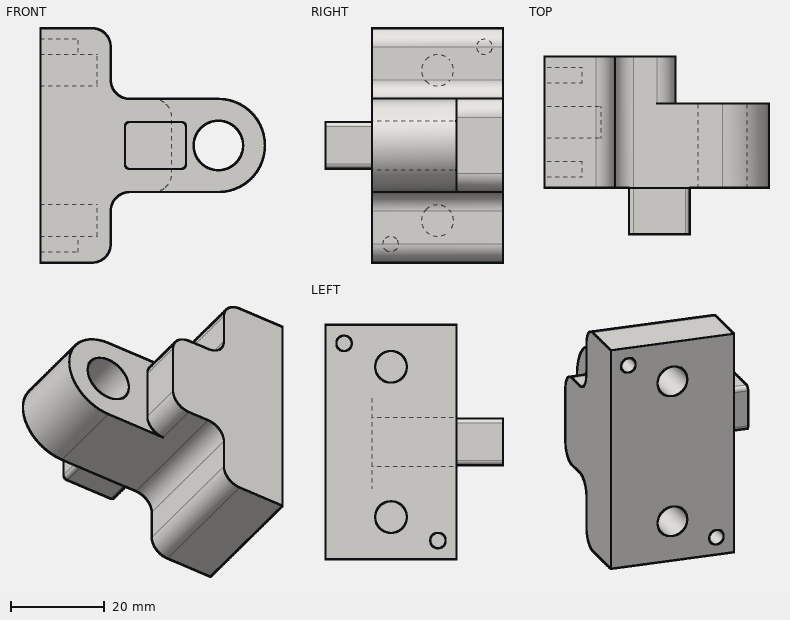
import cadquery as cq

base_thickness = 15.0
base_width = 28.0
base_height = 50.0
blend_radius = 4.0

overall_length = 47.85
eye_radius = 9.95
eye_x = overall_length - eye_radius
eye_bore_diameter = 10.5
arm_height = 2 * eye_radius

relief_start_x = 27.95
relief_depth = 10.0

peg_start_x = 18.0
peg_length_x = 13.0
peg_height = 10.0
peg_projection = 9.9
peg_corner_radius = 1.0

screw_diameter = 6.75
screw_spacing = 32.0
screw_depth = 12.0
dowel_diameter = 3.3
dowel_spacing_y = 20.0
dowel_spacing_z = 42.0
dowel_depth = 8.0

front_y = -base_width / 2
arm_thickness = base_width - relief_depth


def block(start_x, length_x, start_y, length_y, height):
    """Box centred on Z, placed by its lower X and Y faces."""
    return cq.Workplane("XY").box(length_x, length_y, height, centered=(False, False, True)).translate(
        (start_x, start_y, 0)
    )


def cylinder_along_y(x, start_y, length, diameter):
    """Cylinder on the mid height, running towards +Y."""
    circle = cq.Workplane("XZ", origin=(x, start_y, 0)).circle(diameter / 2)
    return circle.extrude(-length)


def make_base():
    base = block(0, base_thickness, front_y, base_width, base_height)
    return base.edges("|Y and >X").fillet(blend_radius)


def make_arm():
    """Eye plate plus the full-width root with rounded outer corners."""
    plate = block(0, eye_x, front_y, arm_thickness, arm_height)
    eye = cylinder_along_y(eye_x, front_y, arm_thickness, 2 * eye_radius)
    root = block(0, relief_start_x, front_y, base_width, arm_height)
    root = root.edges("|Y and >X").fillet(blend_radius)
    return plate.union(eye).union(root)


def make_blend(side):
    """Concave blend between base and arm; side is +1 above, -1 below."""
    corner_z = side * eye_radius
    end_x = base_thickness + blend_radius
    end_z = corner_z + side * blend_radius
    profile = (
        cq.Workplane("XZ", origin=(0, front_y, 0))
        .moveTo(base_thickness, corner_z)
        .lineTo(end_x, corner_z)
        .radiusArc((base_thickness, end_z), side * blend_radius)
        .close()
    )
    return profile.extrude(-base_width)


def make_peg():
    peg = block(peg_start_x, peg_length_x, front_y - peg_projection, peg_projection, peg_height)
    return peg.edges("|Y").fillet(peg_corner_radius)


def mounting_holes(points, diameter, depth):
    """Cutters going in from the mounting face at (y, z) points."""
    return cq.Workplane("YZ").pushPoints(points).circle(diameter / 2).extrude(depth)


screw_points = [(0, side * screw_spacing / 2) for side in (-1, 1)]
dowel_points = [(side * dowel_spacing_y / 2, side * dowel_spacing_z / 2) for side in (-1, 1)]

result = make_base().union(make_arm())
for blend_side in (-1, 1):
    result = result.union(make_blend(blend_side))
result = result.union(make_peg())
result = result.cut(cylinder_along_y(eye_x, front_y, base_width, eye_bore_diameter))
result = result.cut(mounting_holes(screw_points, screw_diameter, screw_depth))
result = result.cut(mounting_holes(dowel_points, dowel_diameter, dowel_depth))